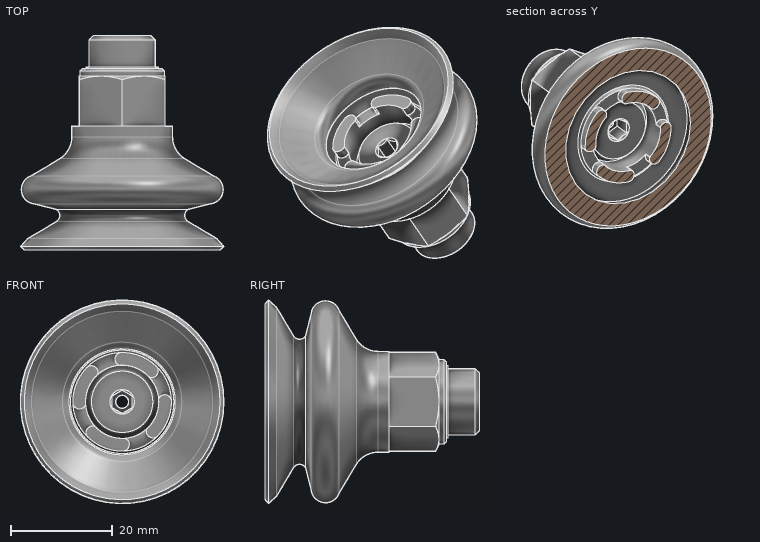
import cadquery as cq
import math

total_length = 42.5
lip_radius = 40.35 / 2

lip_edge_depth = 0.72
lip_face_radius = 19.4
lip_cone_start = (18.7, 2.35)
fold_start = (13.05, 5.7)
fold_bottom = (12.4, 6.9)
fold_end = (13.05, 8.05)
bulge_start = (17.42, 9.15)
bulge_end = (18.1, 14.7)
shoulder_start = (12.4, 18.1)
shoulder_middle = (10.6, 20.05)
bulge_radius = 20.0
bulge_depth = 11.9
neck_radius = 20.0 / 2
neck_start_depth = 22.4
neck_end_depth = 24.55

inner_lip_edge = (17.95, 1.5)
throat_start = (11.8, 5.0)
throat_end = (11.48, 9.15)
cavity_bulge_start = (16.35, 10.2)
cavity_bulge_end = (16.8, 13.8)
cavity_groove_depth = 15.1
throat_radius = 10.55
throat_depth = 6.8
cavity_radius = 18.28
cavity_floor_depth = 11.75
cavity_floor_radius = 14.45

hex_across_flats = 17.0
hex_chamfer_start = 33.8
hex_end_depth = 34.5
flange_radius = 16.8 / 2
flange_end_depth = 35.95
flange_chamfer = 0.5
collar_radius = 14.4 / 2
collar_end_depth = 36.25
stud_radius = 13.18 / 2
stud_chamfer = 0.9

seat_depth = 11.3
seat_base_radius = 10.25
bore_radius = 14.5 / 2
boss_radius = 6.08
boss_top_depth = 13.6
boss_height = 1.7
socket_across_flats = 4.0
socket_depth = 4.25
socket_countersink_radius = 2.42
through_hole_diameter = 2.5
pad_inner_radius = 7.15
pad_outer_radius = 19.5 / 2
pad_height = 2.12
pad_count = 4
pad_center_span = 44.5
first_pad_angle = 68.5


def plane_at(depth):
    """Plane across the axis, facing +Y, with local x along +X and local y along -Z."""
    return cq.Plane(origin=(0, depth, 0), xDir=(1, 0, 0), normal=(0, 1, 0))


def revolve_about_y(profile):
    return profile.close().revolve(360, (0, 0, 0), (0, 1, 0))


def hexagon(across_flats, depth, length):
    """Hexagonal prism with flats facing +X and -X."""
    corner_diameter = across_flats / math.cos(math.radians(30))
    prism = cq.Workplane(plane_at(depth)).polygon(6, corner_diameter).extrude(length)
    return prism.rotate((0, 0, 0), (0, 1, 0), 30)


def bellows_body():
    return revolve_about_y(
        cq.Workplane("XY")
        .moveTo(0, 0)
        .lineTo(lip_face_radius, 0)
        .lineTo(lip_radius, lip_edge_depth)
        .lineTo(*lip_cone_start)
        .lineTo(*fold_start)
        .threePointArc(fold_bottom, fold_end)
        .lineTo(*bulge_start)
        .threePointArc((bulge_radius, bulge_depth), bulge_end)
        .lineTo(*shoulder_start)
        .threePointArc(shoulder_middle, (neck_radius, neck_start_depth))
        .lineTo(neck_radius, neck_end_depth)
        .lineTo(0, neck_end_depth)
    )


def bellows_cavity():
    return revolve_about_y(
        cq.Workplane("XY")
        .moveTo(0, 0)
        .lineTo(lip_face_radius, 0)
        .lineTo(*inner_lip_edge)
        .lineTo(*throat_start)
        .threePointArc((throat_radius, throat_depth), throat_end)
        .lineTo(*cavity_bulge_start)
        .threePointArc((cavity_radius, bulge_depth), cavity_bulge_end)
        .lineTo(cavity_floor_radius, cavity_groove_depth)
        .lineTo(cavity_floor_radius, cavity_floor_depth)
        .lineTo(0, cavity_floor_depth)
    )


def raised_seat():
    """Low disc with a sloped edge on the cavity floor."""
    return revolve_about_y(
        cq.Workplane("XY")
        .moveTo(0, seat_depth)
        .lineTo(pad_outer_radius, seat_depth)
        .lineTo(seat_base_radius, cavity_floor_depth)
        .lineTo(0, cavity_floor_depth)
    )


def hex_nut():
    corner_radius = hex_across_flats / 2 / math.cos(math.radians(30))
    prism = hexagon(hex_across_flats, neck_end_depth, hex_end_depth - neck_end_depth)
    corner_chamfer = revolve_about_y(
        cq.Workplane("XY")
        .moveTo(0, neck_end_depth)
        .lineTo(corner_radius, neck_end_depth)
        .lineTo(corner_radius, hex_chamfer_start)
        .lineTo(flange_radius, hex_end_depth)
        .lineTo(0, hex_end_depth)
    )
    return prism.intersect(corner_chamfer)


def flange_and_stud():
    return revolve_about_y(
        cq.Workplane("XY")
        .moveTo(0, hex_end_depth)
        .lineTo(flange_radius, hex_end_depth)
        .lineTo(flange_radius, flange_end_depth - flange_chamfer)
        .lineTo(flange_radius - flange_chamfer, flange_end_depth)
        .lineTo(collar_radius, flange_end_depth)
        .lineTo(collar_radius, collar_end_depth)
        .lineTo(stud_radius, collar_end_depth)
        .lineTo(stud_radius, total_length - stud_chamfer)
        .lineTo(stud_radius - stud_chamfer, total_length)
        .lineTo(0, total_length)
    )


def fitting_bore():
    """Round recess around a conical boss, with a countersunk hexagonal socket and a through hole."""
    recess = revolve_about_y(
        cq.Workplane("XY")
        .moveTo(0, seat_depth - pad_height)
        .lineTo(bore_radius, seat_depth - pad_height)
        .lineTo(bore_radius, boss_top_depth + boss_height)
        .lineTo(boss_radius, boss_top_depth)
        .lineTo(0, boss_top_depth)
    )
    countersink = revolve_about_y(
        cq.Workplane("XY")
        .moveTo(0, boss_top_depth)
        .lineTo(socket_countersink_radius, boss_top_depth)
        .lineTo(0, boss_top_depth + socket_countersink_radius)
    )
    socket = hexagon(socket_across_flats, boss_top_depth, socket_depth)
    hole = (
        cq.Workplane(plane_at(boss_top_depth))
        .circle(through_hole_diameter / 2)
        .extrude(total_length - boss_top_depth)
    )
    return recess.union(countersink).union(socket).union(hole)


def kidney_pad(middle_angle):
    """Curved pad with round ends, standing on the raised seat beside the bore."""
    middle_radius = (pad_inner_radius + pad_outer_radius) / 2
    end_radius = (pad_outer_radius - pad_inner_radius) / 2
    start = middle_angle - pad_center_span / 2
    end = middle_angle + pad_center_span / 2
    tip_offset = math.degrees(end_radius / middle_radius)

    def point(radius, angle):
        turn = math.radians(angle)
        return radius * math.cos(turn), -radius * math.sin(turn)

    return (
        cq.Workplane(plane_at(seat_depth - pad_height))
        .moveTo(*point(pad_inner_radius, start))
        .threePointArc(point(pad_inner_radius, middle_angle), point(pad_inner_radius, end))
        .threePointArc(point(middle_radius, end + tip_offset), point(pad_outer_radius, end))
        .threePointArc(point(pad_outer_radius, middle_angle), point(pad_outer_radius, start))
        .threePointArc(point(middle_radius, start - tip_offset), point(pad_inner_radius, start))
        .close()
        .extrude(pad_height)
    )


result = bellows_body().cut(bellows_cavity())
result = result.union(raised_seat()).union(hex_nut()).union(flange_and_stud())
for index in range(pad_count):
    result = result.union(kidney_pad(first_pad_angle + index * 360 / pad_count))
result = result.cut(fitting_bore())